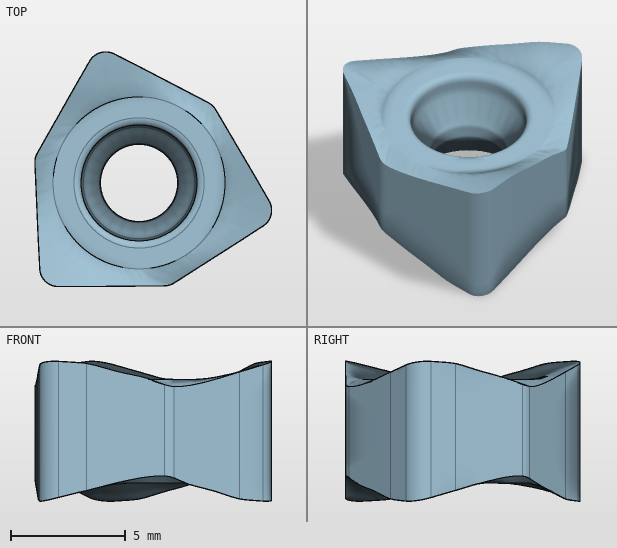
import cadquery as cq
import math

SECTORS = 3
SECTOR_ANGLE = 360 / SECTORS
BLUNT_AXIS = -73.5
MAIN_FLAT_DISTANCE = 4.5
MAIN_FLAT_ANGLE = 16.0
NOSE_FLAT_ANGLE = 16.5
BEND_OFFSET = 2.32
BEND_ANGLE = math.radians(NOSE_FLAT_ANGLE - MAIN_FLAT_ANGLE)
NOSE_FLAT_DISTANCE = MAIN_FLAT_DISTANCE * math.cos(BEND_ANGLE) + BEND_OFFSET * math.sin(BEND_ANGLE)
NOSE_RADIUS = 0.82
BLUNT_RADIUS = 0.8

FLAT_HEIGHT = 2.26
FLAT_RADIUS = 3.75

RIM_RADIUS = 6.2
RIM_TWIST = 15
RIM_HEIGHTS = [2.06, 1.38, 1.55, 2.23, 2.85, 3.1, 3.33, 3.52, 3.31, 2.89]

BORE_RADIUS = 1.68
BORE_TOP = 0.02
BORE_BOTTOM = -0.43
THROAT_BLEND_RADIUS = 0.35
SEAT_HALF_ANGLE = 30
SEAT_BLEND_RADIUS = 0.72
COUNTERBORE_RADIUS = 2.53
MOUTH_ROUNDING = 0.31


def polar(radius, angle, z=0):
    turn = math.radians(angle)
    return cq.Vector(radius * math.cos(turn), radius * math.sin(turn), z)


def crossing(distance_a, angle_a, distance_b, angle_b):
    """Point where two flats meet, each given by its distance from the centre and its normal."""
    normal_a = polar(1, angle_a)
    normal_b = polar(1, angle_b)
    det = normal_a.x * normal_b.y - normal_a.y * normal_b.x
    x = (distance_a * normal_b.y - distance_b * normal_a.y) / det
    y = (distance_b * normal_a.x - distance_a * normal_b.x) / det
    return cq.Vector(x, y, 0)


def make_prism():
    """Vertical prism over the outline, taller than the finished part."""
    half_height = max(RIM_HEIGHTS)
    flats = [
        (NOSE_FLAT_DISTANCE, -NOSE_FLAT_ANGLE),
        (MAIN_FLAT_DISTANCE, -MAIN_FLAT_ANGLE),
        (MAIN_FLAT_DISTANCE, MAIN_FLAT_ANGLE),
        (NOSE_FLAT_DISTANCE, NOSE_FLAT_ANGLE),
    ]
    sides = []
    for sector in range(SECTORS):
        axis = BLUNT_AXIS + sector * SECTOR_ANGLE
        sides += [(distance, axis + angle) for distance, angle in flats]
    corners = [crossing(*sides[i - 1], *sides[i]) for i in range(len(sides))]
    prism = (
        cq.Workplane("XY")
        .workplane(offset=-half_height)
        .polyline([corner.toTuple()[:2] for corner in corners])
        .close()
        .extrude(2 * half_height)
    )
    for sector in range(SECTORS):
        nose = corners[sector * len(flats)]
        blunt = corners[sector * len(flats) + len(flats) // 2]
        for corner, radius in ((nose, NOSE_RADIUS), (blunt, BLUNT_RADIUS)):
            nearest = cq.selectors.NearestToPointSelector((corner.x, corner.y, 0))
            prism = prism.edges("|Z").edges(nearest).fillet(radius)
    return prism


def closed_curve(points):
    return cq.Edge.makeSpline(points, periodic=True)


def make_half():
    """Upper half, out to the rim: flat ring on top, twisted rake surface around it."""
    heights = RIM_HEIGHTS * SECTORS
    step = 360 / len(heights)
    angles = [BLUNT_AXIS + i * step for i in range(len(heights))]
    flat_edge = closed_curve([polar(FLAT_RADIUS, angle - RIM_TWIST, FLAT_HEIGHT) for angle in angles])
    rim = closed_curve([polar(RIM_RADIUS, angle, height) for angle, height in zip(angles, heights)])
    base = closed_curve([polar(RIM_RADIUS, angle) for angle in angles])
    faces = [
        cq.Face.makeFromWires(cq.Wire.assembleEdges([flat_edge])),
        cq.Face.makeRuledSurface(flat_edge, rim),
        cq.Face.makeRuledSurface(rim, base),
        cq.Face.makeFromWires(cq.Wire.assembleEdges([base])),
    ]
    return cq.Solid.makeSolid(cq.Shell.makeShell(faces))


def make_hole():
    """Bore with a seat and a counterbore above it, and a seat that runs out to the bottom flat."""
    turn = math.radians(SEAT_HALF_ANGLE)

    def on_arc(center, radius, angle):
        """Point on an arc; the angle is measured from the outward horizontal, upward positive."""
        return (center[0] + radius * math.cos(angle), center[1] + radius * math.sin(angle))

    throat_top = (BORE_RADIUS + THROAT_BLEND_RADIUS, BORE_TOP)
    throat_bottom = (BORE_RADIUS + THROAT_BLEND_RADIUS, BORE_BOTTOM)
    upper_seat_start = on_arc(throat_top, THROAT_BLEND_RADIUS, math.pi - turn)
    lower_seat_start = on_arc(throat_bottom, THROAT_BLEND_RADIUS, math.pi + turn)

    seat_blend_center_radius = COUNTERBORE_RADIUS - SEAT_BLEND_RADIUS
    upper_seat_end_radius = seat_blend_center_radius + SEAT_BLEND_RADIUS * math.cos(turn)
    upper_seat_end_z = upper_seat_start[1] + (upper_seat_end_radius - upper_seat_start[0]) / math.tan(turn)
    counterbore_z = upper_seat_end_z + SEAT_BLEND_RADIUS * math.sin(turn)
    seat_blend = (seat_blend_center_radius, counterbore_z)

    mouth_z = FLAT_HEIGHT - MOUTH_ROUNDING
    upper_mouth = (COUNTERBORE_RADIUS + MOUTH_ROUNDING, mouth_z)

    sharp_mouth_radius = lower_seat_start[0] + (lower_seat_start[1] + FLAT_HEIGHT) * math.tan(turn)
    setback = MOUTH_ROUNDING * math.tan((math.pi / 2 - turn) / 2)
    lower_mouth = (sharp_mouth_radius + setback, -mouth_z)
    lower_mouth_middle_angle = math.pi + (turn + math.pi / 2) / 2

    return (
        cq.Workplane("XZ")
        .moveTo(0, -FLAT_HEIGHT)
        .lineTo(lower_mouth[0], -FLAT_HEIGHT)
        .threePointArc(
            on_arc(lower_mouth, MOUTH_ROUNDING, lower_mouth_middle_angle),
            on_arc(lower_mouth, MOUTH_ROUNDING, math.pi + turn),
        )
        .lineTo(*lower_seat_start)
        .threePointArc(
            on_arc(throat_bottom, THROAT_BLEND_RADIUS, math.pi + turn / 2),
            (BORE_RADIUS, BORE_BOTTOM),
        )
        .lineTo(BORE_RADIUS, BORE_TOP)
        .threePointArc(
            on_arc(throat_top, THROAT_BLEND_RADIUS, math.pi - turn / 2),
            upper_seat_start,
        )
        .lineTo(upper_seat_end_radius, upper_seat_end_z)
        .threePointArc(
            on_arc(seat_blend, SEAT_BLEND_RADIUS, -turn / 2),
            (COUNTERBORE_RADIUS, counterbore_z),
        )
        .lineTo(COUNTERBORE_RADIUS, mouth_z)
        .threePointArc(
            on_arc(upper_mouth, MOUTH_ROUNDING, math.pi * 3 / 4),
            (upper_mouth[0], FLAT_HEIGHT),
        )
        .lineTo(0, FLAT_HEIGHT)
        .close()
        .revolve(360, (0, 0, 0), (0, 1, 0))
    )


upper = make_half()
lower = upper.rotate(cq.Vector(0, 0, 0), polar(1, BLUNT_AXIS), 180)
blank = cq.Workplane(upper).union(cq.Workplane(lower))
result = make_prism().intersect(blank).cut(make_hole())